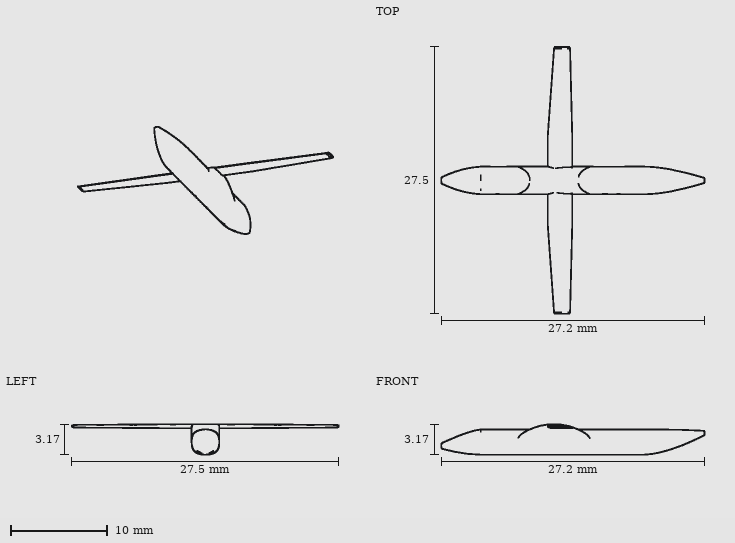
import cadquery as cq


overall_length = 27.17
nose_length = 4.08
tail_length = 6.22
body_half_width = 1.44
body_half_height = 1.315
loft_steps = 6

nose_tip_half_width = 0.32
nose_tip_top = -0.12
nose_tip_bottom = -0.68
nose_tip_round = 0.24
nose_powers = {"width": 1.85, "top": 1.35, "bottom": 1.8}

tail_tip_half_width = 0.26
tail_tip_top = 1.17
tail_tip_bottom = 0.72
tail_tip_round = 0.16
tail_powers = {"width": 1.7, "top": 3.0, "bottom": 1.6}

fairing_center_x = 11.62
fairing_length = 8.65
overall_height = 3.17
fairing_top = overall_height - body_half_height
fairing_edge_round = 0.24

wing_span = 27.54
wing_half_span = wing_span / 2
root_panel_half_span = 4.69
root_leading_edge_x = 10.98
root_chord = 2.54
root_thickness = 0.42
wing_sink = 0.01
tip_leading_edge_x = 11.62
tip_chord = 1.68
tip_thickness = 0.30
tip_cap_length = 0.2
tip_cap_inset = 0.09
wing_mid_z = fairing_top - wing_sink - root_thickness / 2
crest_fraction = 0.25
trailing_edge_fraction = 0.2
trailing_edge_slope = 0.2


def fuselage_section(x, half_width, top, bottom):
    """Closed oval across X, made of two mirrored curves that meet on the centre plane."""
    middle = (top + bottom) / 2
    plane = cq.Plane(origin=(x, 0, 0), xDir=(0, 1, 0), normal=(1, 0, 0))
    upper, lower = (0, top), (0, bottom)
    return (
        cq.Workplane(plane)
        .moveTo(*upper)
        .spline([(half_width, middle), lower], tangents=[(1, 0), (0, -1), (-1, 0)],
                includeCurrent=True)
        .spline([(-half_width, middle), upper], tangents=[(-1, 0), (0, 1), (1, 0)],
                includeCurrent=True)
        .close()
        .wire()
        .val()
    )


def blend(start, end, fraction, power):
    """Value between start and end; a power above 1 starts the change gently."""
    return start + (end - start) * fraction ** power


def fuselage_end(seam_x, tip_x, tip_half_width, tip_top, tip_bottom, powers):
    """Tapered fuselage end from the straight body at seam_x to a small blunt tip."""
    sections = []
    for step in range(loft_steps + 1):
        fraction = step / loft_steps
        sections.append(
            fuselage_section(
                blend(seam_x, tip_x, fraction, 1),
                blend(body_half_width, tip_half_width, fraction, powers["width"]),
                blend(body_half_height, tip_top, fraction, powers["top"]),
                blend(-body_half_height, tip_bottom, fraction, powers["bottom"]),
            )
        )
    return cq.Workplane(obj=cq.Solid.makeLoft(sections))


def make_fuselage():
    """Straight body with a tapered nose and tail, both rounded at the tip."""
    nose_seam_x = nose_length
    tail_seam_x = overall_length - tail_length
    nose = fuselage_end(
        nose_seam_x, 0, nose_tip_half_width, nose_tip_top, nose_tip_bottom, nose_powers
    )
    nose = nose.faces("<X").edges().fillet(nose_tip_round)
    tail = fuselage_end(
        tail_seam_x, overall_length, tail_tip_half_width, tail_tip_top, tail_tip_bottom, tail_powers
    )
    tail = tail.faces(">X").edges().fillet(tail_tip_round)
    body_ends = [
        fuselage_section(x, body_half_width, body_half_height, -body_half_height)
        for x in (nose_seam_x, tail_seam_x)
    ]
    body = cq.Workplane(obj=cq.Solid.makeLoft(body_ends, True))
    return body.union(nose).union(tail)


def make_fairing():
    """Circular-segment block over the fuselage with its two arched edges rounded."""
    half_length = fairing_length / 2
    return (
        cq.Workplane("XZ")
        .moveTo(fairing_center_x - half_length, 0)
        .threePointArc((fairing_center_x, fairing_top), (fairing_center_x + half_length, 0))
        .close()
        .extrude(body_half_width, both=True)
        .edges("%CIRCLE")
        .fillet(fairing_edge_round)
    )


def airfoil(y, leading_edge_x, chord, thickness):
    """Airfoil with a round nose, an arched top and a nearly flat underside."""
    bottom = wing_mid_z - thickness / 2
    top = wing_mid_z + thickness / 2
    crest_x = leading_edge_x + crest_fraction * chord
    trailing_x = leading_edge_x + chord
    plane = cq.Plane(origin=(0, y, 0), xDir=(1, 0, 0), normal=(0, -1, 0))
    return (
        cq.Workplane(plane)
        .moveTo(trailing_x, bottom + trailing_edge_fraction * thickness)
        .spline(
            [(crest_x, top), (leading_edge_x, wing_mid_z), (crest_x, bottom)],
            tangents=[(-1, trailing_edge_slope), (-1, 0), (0, -1), (1, 0)],
            includeCurrent=True,
        )
        .lineTo(trailing_x, bottom)
        .close()
        .wire()
        .val()
    )


def make_wing_half(side):
    """One wing half from the centre plane outwards; side is +1 or -1 along Y."""
    cap_y = wing_half_span - tip_cap_length
    sections = [
        airfoil(0, root_leading_edge_x, root_chord, root_thickness),
        airfoil(side * root_panel_half_span, root_leading_edge_x, root_chord, root_thickness),
        airfoil(side * cap_y, tip_leading_edge_x, tip_chord, tip_thickness),
        airfoil(
            side * wing_half_span,
            tip_leading_edge_x + tip_cap_inset,
            tip_chord - 2 * tip_cap_inset,
            tip_thickness - 2 * tip_cap_inset,
        ),
    ]
    return cq.Workplane(obj=cq.Solid.makeLoft(sections, True))


result = make_fuselage().union(make_fairing())
for wing_side in (1, -1):
    result = result.union(make_wing_half(wing_side))